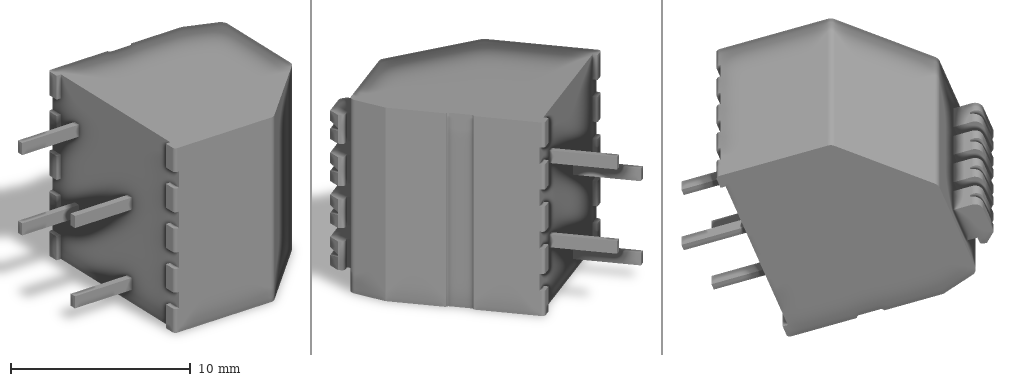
import cadquery as cq
import math

overall_length = 16.7
width = 12.0
depth = 11.5
height = 11.5
pitch = 2.5
left_slope_start = 9.2
left_slope_angle = 20.0
right_bevel = 4.68
corner_radius = 0.5

groove_low = 4.1
groove_high = 5.7
groove_depth = 0.15
groove_radius = 0.15

foot_rows = 5
foot_length = 0.3
foot_width = 0.82
foot_height = height - (foot_rows - 1) * pitch
foot_radius = 0.2

pole_count = 4
pin_width = 0.4
pin_height = 0.75
pin_reach = 3.6
pin_right_x = 7.33
pin_left_x = pin_right_x - 2 * pitch
first_pin_z = 1.19

button_left = 2.52
button_right = 4.81
button_rise = overall_length - pin_reach - depth
button_height = 1.7
first_button_z = 1.65
hook_overhang = 0.52
hook_underside = 0.6
hook_bevel = 0.6
hook_radius = 0.2
button_radius = 0.5

notch_mouth = 0.47
notch_floor = 0.17


def make_housing():
    slope_run = (depth - left_slope_start) * math.tan(math.radians(left_slope_angle))
    outline = [
        (0, foot_length),
        (width, foot_length),
        (width, depth - right_bevel),
        (width - right_bevel, depth),
        (slope_run, depth),
        (0, left_slope_start),
    ]
    housing = cq.Workplane("XY").polyline(outline).close().extrude(height)
    rounded_corners = outline[2:5]
    for x, y in rounded_corners:
        edge = cq.selectors.NearestToPointSelector((x, y, height / 2))
        housing = housing.edges("|Z").edges(edge).fillet(corner_radius)
    return housing


def make_groove():
    floor_corners = cq.selectors.BoxSelector(
        (groove_depth / 2, groove_low - groove_depth, 0),
        (2 * groove_depth, groove_high + groove_depth, height),
    )
    return (
        cq.Workplane("XY")
        .box(2 * groove_depth, groove_high - groove_low, height, centered=(True, False, False))
        .translate((0, groove_low, 0))
        .edges("|Z")
        .edges(floor_corners)
        .fillet(groove_radius)
    )


def make_foot(outer_x, inner_x, z):
    outer_edge = cq.selectors.NearestToPointSelector((outer_x, 0, z + foot_height / 2))
    return (
        cq.Workplane("XY", origin=(0, 0, z))
        .moveTo(outer_x, 0)
        .lineTo(inner_x, 0)
        .lineTo(inner_x, foot_length)
        .lineTo(outer_x, foot_length)
        .close()
        .extrude(foot_height)
        .edges("|Z")
        .edges(outer_edge)
        .fillet(foot_radius)
    )


def make_pin(x, z):
    length = pin_reach + foot_length
    return (
        cq.Workplane("XY")
        .box(pin_width, length, pin_height, centered=(True, False, True))
        .translate((x, -pin_reach, z))
    )


def make_button(z):
    tip_x = button_left - hook_overhang
    top = depth + button_rise
    bevel_base = top - hook_bevel
    lip = depth + hook_underside
    profile = [
        (button_left, depth),
        (button_right, depth),
        (button_right, top),
        (tip_x + hook_bevel, top),
        (tip_x, bevel_base),
        (tip_x, lip),
        (button_left, lip),
    ]
    button = (
        cq.Workplane("XY", origin=(0, 0, z - button_height / 2))
        .polyline(profile)
        .close()
        .extrude(button_height)
    )
    top_corner = cq.selectors.NearestToPointSelector((button_right, top, z))
    tip_corner = cq.selectors.NearestToPointSelector((tip_x, lip, z))
    button = button.edges("|Z").edges(top_corner).fillet(button_radius)
    button = button.edges("|Z").edges(tip_corner).fillet(hook_radius)
    notch = (
        cq.Workplane("YZ", origin=(tip_x, 0, 0))
        .moveTo(bevel_base, z - notch_floor / 2)
        .lineTo(top, z - notch_mouth / 2)
        .lineTo(top, z + notch_mouth / 2)
        .lineTo(bevel_base, z + notch_floor / 2)
        .close()
        .extrude(button_right - tip_x)
    )
    return button.cut(notch)


result = make_housing().cut(make_groove())

for row in range(foot_rows):
    foot_z = row * pitch
    result = result.union(make_foot(0, foot_width, foot_z))
    result = result.union(make_foot(width, width - foot_width, foot_z))

for pole in range(pole_count):
    pole_z = pole * pitch
    pin_x = pin_right_x if pole % 2 == 0 else pin_left_x
    result = result.union(make_pin(pin_x, first_pin_z + pole_z))
    result = result.union(make_button(first_button_z + pole_z))